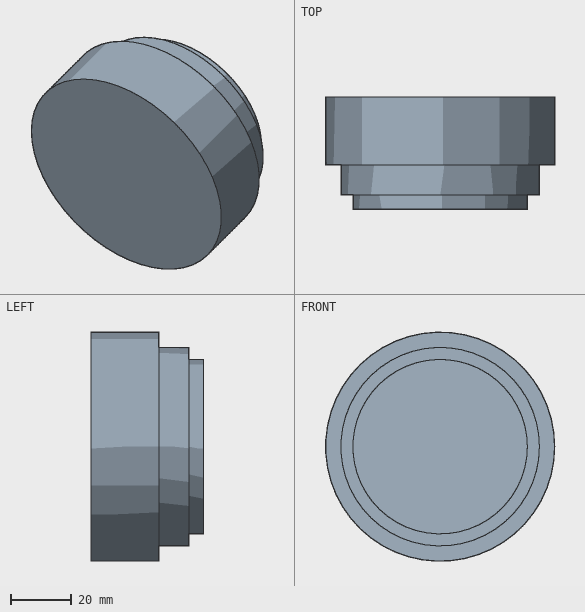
import cadquery as cq

body_diameter = 76.2
shoulder_diameter = 66.0
nose_diameter = 58.0

total_length = 37.4
shoulder_length = 10.0
nose_length = 4.9
body_length = total_length - shoulder_length - nose_length


def add_disc(workplane, diameter, length):
    """Extrude a coaxial disc from the current workplane."""
    return workplane.circle(diameter / 2).extrude(length)


body = add_disc(cq.Workplane("XZ"), body_diameter, body_length)
shoulder = add_disc(body.faces("<Y").workplane(), shoulder_diameter, shoulder_length)
result = add_disc(shoulder.faces("<Y").workplane(), nose_diameter, nose_length)